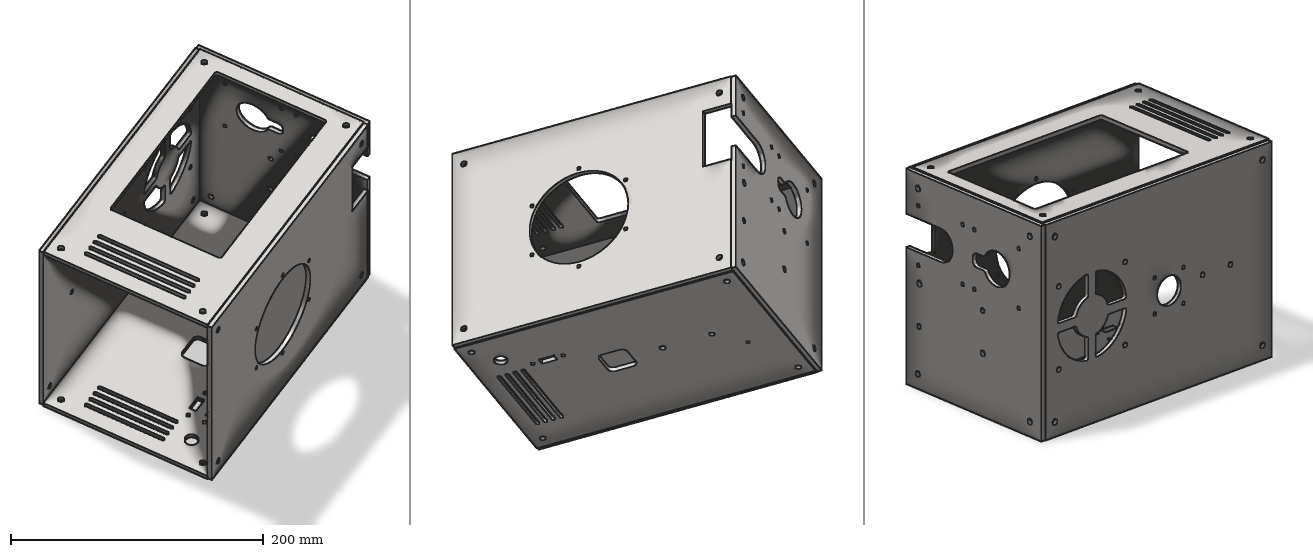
import cadquery as cq
import math

width = 158.3
length = 248.5
height = 188.0
sheet = 4.0
lip = 1.2
back_inset = 0.62

front_y = -length / 2
back_y = length / 2 - sheet
panel_length = back_y - front_y
panel_mid_y = (back_y + front_y) / 2
inner_width = width - 2 * sheet
upright_height = height - 2 * lip

corner_hole = 5.0
corner_inset = 10.2
corner_x = inner_width / 2 - corner_inset
corner_y = panel_length / 2 - corner_inset
corner_z = height / 2 - sheet - corner_inset

vent_width = 3.0
vent_pitch = 7.0
vent_count = 4
vent_front_y = -108.8
top_vent_left = -46.2
top_vent_right = 46.2
bottom_vent_left = -46.2
bottom_vent_right = 26.5

hatch_left = -52.2
hatch_right = 49.5
hatch_front = -59.6
hatch_back = 106.5
hatch_radius = 2.0

inlet_x, inlet_y = 5.2, -14.7
inlet_size = 24.8
inlet_radius = 4.7
mount_x = inlet_x
mount_holes = [(68.0, 4.5), (24.8, 5.0)]
cable_x, cable_y, cable_hole = 45.2, -98.0, 11.2
pilot_x, pilot_y, pilot_hole = -17.1, 89.0, 3.0
port_y = -63.9
port_size_x, port_size_y = 6.2, 13.2
port_screw_hole = 3.2
port_screw_spacing = 26.5
open_port_x = 30.0
blank_port_x = 45.0
blank_depth = 0.2

cutout_z = 39.5
key_x = -26.3
key_diameter = 30.3
key_slot_width = 12.2
key_slot_end = 1.2
key_slot_radius = 5.0
key_lead_radius = 2.0
u_slot_width = 28.8
u_slot_left = 24.4
flange_hole = 3.2
flange_spacing = 51.5
flange_xs = [key_x, 38.8]
bracket_holes = [(-10.2, -1.5, 4.2), (63.0, -1.5, 5.2), (-10.5, -38.3, 5.0), (63.5, -38.5, 4.2)]

fan_y = 70.0
grille_outer_radius = 37.5
grille_inner_radius = 17.6
grille_spoke = 8.0
grille_corner_radius = 2.0
fan_hole = 4.2
fan_hole_spacing = 71.5

shaft_y, shaft_z = -13.2, -3.0
motor_bore = 25.5
motor_hole = 3.0
motor_hole_spacing = 31.0
sensor_holes = [(-49.5, 0.0), (-79.5, 0.0)]
sensor_hole = 4.2
bearing_bore = 86.5
bearing_hole = 3.0
bearing_hole_radius = 47.5
bearing_hole_count = 6

notch_front = 95.7
notch_height = 53.7


def holes(plane, points, diameter):
    """Round cutters through one panel."""
    return plane.pushPoints(points).circle(diameter / 2).extrude(sheet)


def corner_holes(plane, half_u, half_v, mid_u=0, mid_v=0):
    """Cutters for the four fixing holes of a panel."""
    return square_holes(plane, (mid_u, mid_v), 2 * half_u, 2 * half_v, corner_hole)


def square_holes(plane, centre, spacing_u, spacing_v, diameter):
    """Cutters for four holes on the corners of a rectangle."""
    u, v = centre
    points = [(u + a * spacing_u / 2, v + b * spacing_v / 2) for a in (-1, 1) for b in (-1, 1)]
    return holes(plane, points, diameter)


def block(plane, left, right, low, high, depth=sheet):
    """Rectangular block standing on a panel's base plane."""
    centre = ((left + right) / 2, (low + high) / 2)
    return plane.pushPoints([centre]).rect(right - left, high - low).extrude(depth)


def vents(plane, left, right):
    """Cutters for the row of round-ended ventilation slots."""
    centres = [((left + right) / 2, vent_front_y + i * vent_pitch) for i in range(vent_count)]
    return plane.pushPoints(centres).slot2D(right - left, vent_width).extrude(sheet)


def flat_panel(plane):
    """Plain top or bottom panel with its fixing holes."""
    panel = block(plane, -inner_width / 2, inner_width / 2, front_y, back_y)
    return panel.cut(corner_holes(plane, corner_x, corner_y, 0, panel_mid_y))


def side_panel(plane):
    """Plain left or right panel with its fixing holes."""
    panel = block(plane, front_y, back_y, -upright_height / 2, upright_height / 2)
    return panel.cut(corner_holes(plane, corner_y, corner_z, panel_mid_y, 0))


def make_top():
    plane = cq.Workplane("XY", origin=(0, 0, height / 2 - sheet))
    hatch = block(plane, hatch_left, hatch_right, hatch_front, hatch_back)
    hatch = hatch.edges("|Z").fillet(hatch_radius)
    return flat_panel(plane).cut(hatch).cut(vents(plane, top_vent_left, top_vent_right))


def port(plane, x):
    """Cutter for a rectangular connector opening with a screw hole at each end."""
    opening = block(
        plane, x - port_size_x / 2, x + port_size_x / 2, port_y - port_size_y / 2, port_y + port_size_y / 2
    )
    screws = [(x, port_y + end * port_screw_spacing / 2) for end in (-1, 1)]
    return opening.union(holes(plane, screws, port_screw_hole))


def make_bottom():
    plane = cq.Workplane("XY", origin=(0, 0, -height / 2))
    floor_marking = plane.workplane(offset=sheet - blank_depth)
    half = inlet_size / 2
    inlet = block(plane, inlet_x - half, inlet_x + half, inlet_y - half, inlet_y + half)
    inlet = inlet.edges("|Z").fillet(inlet_radius)
    panel = flat_panel(plane).cut(inlet).cut(vents(plane, bottom_vent_left, bottom_vent_right))
    panel = panel.cut(port(plane, open_port_x)).cut(port(floor_marking, blank_port_x))
    panel = panel.cut(holes(plane, [(cable_x, cable_y)], cable_hole))
    panel = panel.cut(holes(plane, [(pilot_x, pilot_y)], pilot_hole))
    for y, diameter in mount_holes:
        panel = panel.cut(holes(plane, [(mount_x, y)], diameter))
    return panel


def keyhole(plane):
    """Cutter for the round opening with a short slot on its right, the joining corners rounded."""
    half_slot = key_slot_width / 2
    disc = holes(plane, [(key_x, cutout_z)], key_diameter)
    slot = block(plane, key_x, key_slot_end, cutout_z - half_slot, cutout_z + half_slot)
    slot = slot.edges("|Y and >X").fillet(key_slot_radius)
    join_x = key_x + math.sqrt((key_diameter / 2) ** 2 - half_slot**2)
    reach = key_lead_radius / 2
    join = cq.selectors.BoxSelector(
        (join_x - reach, 0, cutout_z - key_slot_width), (join_x + reach, length, cutout_z + key_slot_width)
    )
    return disc.union(slot).edges("|Y").edges(join).fillet(key_lead_radius)


def u_slot(plane, right):
    """Cutter for the round-ended slot that runs out of the right edge."""
    centre_x = u_slot_left + u_slot_width / 2
    low = cutout_z - u_slot_width / 2
    rounded_end = holes(plane, [(centre_x, cutout_z)], u_slot_width)
    return rounded_end.union(block(plane, centre_x, right, low, low + u_slot_width))


def make_back():
    plane = cq.Workplane("XZ", origin=(0, length / 2, 0))
    half_width = width / 2 - back_inset
    panel = block(plane, -half_width, half_width, -upright_height / 2, upright_height / 2)
    panel = panel.cut(corner_holes(plane, corner_x, corner_z))
    panel = panel.cut(keyhole(plane)).cut(u_slot(plane, half_width))
    for x in flange_xs:
        panel = panel.cut(square_holes(plane, (x, cutout_z), flange_spacing, flange_spacing, flange_hole))
    for x, z, diameter in bracket_holes:
        panel = panel.cut(holes(plane, [(x, z)], diameter))
    return panel


def fan_grille(plane):
    """Cutters for the four ring segments between the spokes of the fan grille."""
    reach = grille_outer_radius
    ring = holes(plane, [(fan_y, 0)], 2 * grille_outer_radius)
    ring = ring.cut(holes(plane, [(fan_y, 0)], 2 * grille_inner_radius))
    ring = ring.cut(block(plane, fan_y - reach, fan_y + reach, -grille_spoke / 2, grille_spoke / 2))
    ring = ring.cut(block(plane, fan_y - grille_spoke / 2, fan_y + grille_spoke / 2, -reach, reach))
    return ring.edges("|X").fillet(grille_corner_radius)


def make_left():
    plane = cq.Workplane("YZ", origin=(-width / 2, 0, 0))
    panel = side_panel(plane).cut(fan_grille(plane))
    panel = panel.cut(square_holes(plane, (fan_y, 0), fan_hole_spacing, fan_hole_spacing, fan_hole))
    shaft = (shaft_y, shaft_z)
    panel = panel.cut(holes(plane, [shaft], motor_bore))
    panel = panel.cut(square_holes(plane, shaft, motor_hole_spacing, motor_hole_spacing, motor_hole))
    return panel.cut(holes(plane, sensor_holes, sensor_hole))


def make_right():
    plane = cq.Workplane("YZ", origin=(width / 2 - sheet, 0, 0))
    notch_low = cutout_z - notch_height / 2
    panel = side_panel(plane).cut(block(plane, notch_front, back_y, notch_low, notch_low + notch_height))
    panel = panel.cut(holes(plane, [(shaft_y, shaft_z)], bearing_bore))
    step = 2 * math.pi / bearing_hole_count
    ring = [
        (
            shaft_y + bearing_hole_radius * math.sin(i * step),
            shaft_z + bearing_hole_radius * math.cos(i * step),
        )
        for i in range(bearing_hole_count)
    ]
    return panel.cut(holes(plane, ring, bearing_hole))


top_panel = make_top()
bottom_panel = make_bottom()
back_panel = make_back()
left_panel = make_left()
right_panel = make_right()

result = cq.Compound.makeCompound(
    [top_panel.val(), bottom_panel.val(), back_panel.val(), left_panel.val(), right_panel.val()]
)